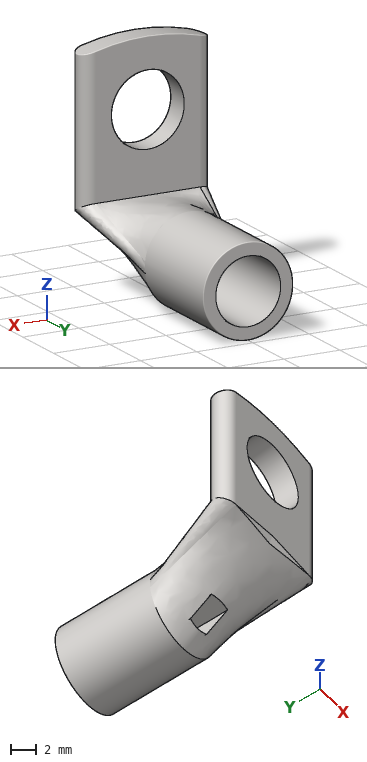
import cadquery as cq
import math

total_height = 20.5
palm_width = 11.5
palm_thickness = 2.21
crown_rise = 0.92
hole_radius = 3.24
hole_drop = 5.99
mitre_front_z = 6.35
mitre_back_z = 7.52
rim_round = 0.08

relief_rise = 0.5
relief_depth = 0.3
relief_drop = 0.23

barrel_radius = 4.0
bore_radius = 2.9
barrel_start_y = 9.02
barrel_end_y = 18.5
seam_angle = 7.0

window_width = 2.05
window_top_z = 2.73

side_radius = palm_thickness / 2
palm_half_flat = palm_width / 2 - side_radius
hole_z = total_height - hole_drop


def mitre_point(x, y):
    """Point on the slanted plane where the palm meets the neck."""
    slope = (mitre_back_z - mitre_front_z) / palm_thickness
    return cq.Vector(x, y, mitre_front_z + slope * y)


def barrel_point(angle):
    """Point on the rim at the front end of the barrel."""
    radians = math.radians(angle)
    x = barrel_radius * math.cos(radians)
    z = barrel_radius * (1 + math.sin(radians))
    return cq.Vector(x, barrel_start_y, z)


def barrel_cylinder(radius, start_y, end_y):
    """Cylinder on the barrel axis."""
    start = cq.Vector(0, start_y, barrel_radius)
    return cq.Workplane(cq.Solid.makeCylinder(radius, end_y - start_y, start, cq.Vector(0, 1, 0)))


def make_palm():
    outline = (
        cq.Workplane("XZ")
        .moveTo(-palm_width / 2, 0)
        .lineTo(palm_width / 2, 0)
        .lineTo(palm_width / 2, total_height - crown_rise)
        .threePointArc((0, total_height), (-palm_width / 2, total_height - crown_rise))
        .close()
        .extrude(-palm_thickness)
    )
    column = (
        cq.Workplane("XY")
        .center(0, side_radius)
        .slot2D(palm_width, palm_thickness)
        .extrude(total_height)
    )
    below_mitre = (
        cq.Workplane("YZ")
        .polyline([(0, 0), (0, mitre_front_z), (palm_thickness, mitre_back_z), (palm_thickness, 0)])
        .close()
        .extrude(palm_width / 2, both=True)
    )
    hole = cq.Workplane("XZ").center(0, hole_z).circle(hole_radius).extrude(-palm_thickness)
    palm = column.intersect(outline).cut(below_mitre)
    return palm.faces(">Z").edges().fillet(rim_round).cut(hole)


def make_neck():
    half = palm_half_flat
    mitre_slope = (mitre_back_z - mitre_front_z) / palm_thickness
    mitre_normal = cq.Vector(0, -mitre_slope, 1)
    half_slant = math.hypot(palm_thickness, mitre_back_z - mitre_front_z) / 2
    mitre_plane = cq.Plane(mitre_point(0, side_radius), cq.Vector(1, 0, 0), mitre_normal)
    palm_end = (
        cq.Workplane(mitre_plane)
        .moveTo(half, -half_slant)
        .ellipseArc(side_radius, half_slant, -90, 90, startAtCurrent=True)
        .lineTo(-half, half_slant)
        .ellipseArc(side_radius, half_slant, 90, 270, startAtCurrent=True)
        .close()
        .wire()
        .val()
    )
    stops = [-seam_angle, seam_angle, 180 - seam_angle, 180 + seam_angle, 360 - seam_angle]
    arcs = [
        cq.Edge.makeThreePointArc(barrel_point(a), barrel_point((a + b) / 2), barrel_point(b))
        for a, b in zip(stops, stops[1:])
    ]
    return cq.Workplane(cq.Solid.makeLoft([palm_end, cq.Wire.assembleEdges(arcs)], True))


def make_barrel():
    barrel = barrel_cylinder(barrel_radius, barrel_start_y, barrel_end_y)
    return barrel.faces(">Y").edges().fillet(rim_round)


def make_window():
    block = cq.Workplane("XY").box(
        window_width, barrel_start_y, window_top_z, centered=(True, False, False)
    )
    return block.intersect(barrel_cylinder(bore_radius, 0, barrel_start_y))


def make_relief():
    corners = [
        cq.Vector(-palm_half_flat, 0, mitre_front_z),
        cq.Vector(palm_half_flat, 0, mitre_front_z),
        cq.Vector(0, 0, mitre_front_z + relief_rise),
        cq.Vector(0, relief_depth, mitre_front_z - relief_drop),
    ]
    faces = []
    for skipped in corners:
        triangle = [corner for corner in corners if corner is not skipped]
        faces.append(cq.Face.makeFromWires(cq.Wire.makePolygon(triangle, close=True)))
    return cq.Workplane(cq.Solid.makeSolid(cq.Shell.makeShell(faces)).fix())


bore = barrel_cylinder(bore_radius, barrel_start_y, barrel_end_y)
body = make_palm().union(make_neck()).union(make_barrel())
result = body.cut(bore).cut(make_window()).cut(make_relief())